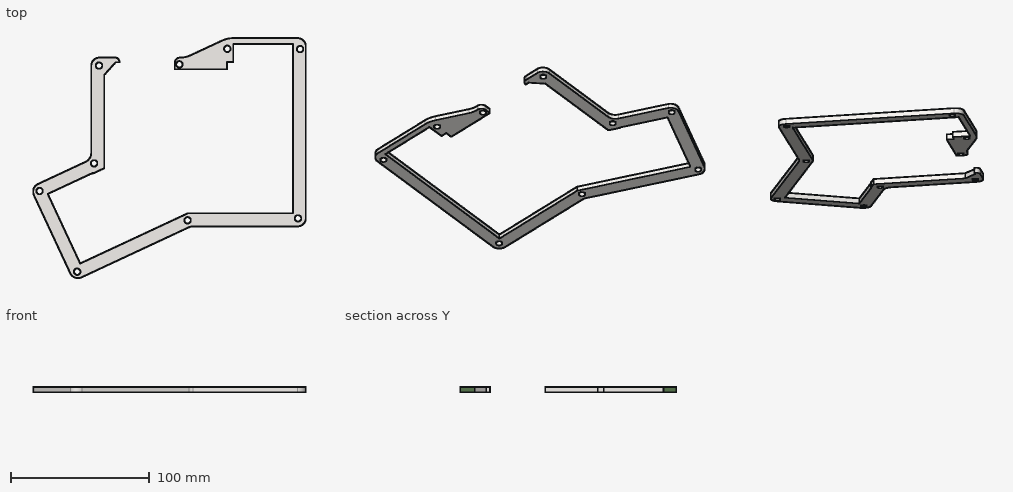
import cadquery as cq
import math

length = 196.54
width = 173.04
thickness = 4.0
band = 9.6
right_band = 9.4
top_band = 4.5
tilt = math.radians(25)
hole_diameter = 4.5

corner_radius = 6.2
elbow_radius = 7.0
bend_radius = 6.0
tip_radius = 3.5
shoulder_radius = 20.0
saddle_radius = 16.0
plate_end_radius = 4.0

sin_t = math.sin(tilt)
cos_t = math.cos(tilt)
tan_t = math.tan(tilt)
leg_top_y = 62.3
leg_drop = leg_top_y - corner_radius
left_center = (corner_radius, leg_top_y)
low_center = (corner_radius + leg_drop * tan_t, corner_radius)

long_part = sin_t + cos_t
short_part = cos_t - sin_t
inset = band - corner_radius
left_outer = (left_center[0] - corner_radius * long_part, left_center[1] + corner_radius * short_part)
left_inner = (left_center[0] + inset * long_part, left_center[1] - inset * short_part)
low_outer = (low_center[0] - corner_radius * short_part, low_center[1] - corner_radius * long_part)
low_inner = (low_center[0] + inset * short_part, low_center[1] + inset * long_part)

post_left = 41.8
post_right = post_left + band
post_top = 159.0
hook_tip_x = 62.4
hook_root_x = 59.5
hook_tip_depth = 3.6
hook_under_y = post_top - hook_tip_depth
hook_base_y = 146.4

step_x = 43.0
step_depth = 0.4

bottom_y = 37.2
bottom_inner_y = bottom_y + band
right_inner_x = length - right_band
top_inner_y = width - top_band

plate_left = 102.0
plate_right = 144.3
plate_bottom = 150.3
plate_end_top = 159.0
notch_x = 139.7
notch_y = 155.6
shoulder = (140.1, width)

hole_centers = [
    (47.5, 153.1),
    (44.0, 82.7),
    (4.7, 62.8),
    (31.8, 4.7),
    (111.3, 41.7),
    (190.8, 43.1),
    (192.3, 165.0),
    (139.9, 165.2),
    (105.4, 154.0),
]


def x_on_slope(start, y):
    """X where the tilted line through start reaches height y."""
    return start[0] + (y - start[1]) / tan_t


def y_on_slope(start, x):
    """Y of the tilted line through start at position x."""
    return start[1] + (x - start[0]) * tan_t


step_y = y_on_slope(left_inner, step_x)
corners = [
    ((hook_tip_x, post_top), tip_radius),
    ((post_left, post_top), corner_radius),
    ((post_left, y_on_slope(left_outer, post_left)), elbow_radius),
    (left_outer, corner_radius),
    (low_outer, corner_radius),
    ((x_on_slope(low_outer, bottom_y), bottom_y), bend_radius),
    ((length, bottom_y), corner_radius),
    ((length, width), corner_radius),
    (shoulder, shoulder_radius),
    ((x_on_slope(shoulder, plate_end_top), plate_end_top), saddle_radius),
    ((plate_left, plate_end_top), plate_end_radius),
    ((plate_left, plate_bottom), 0),
    ((notch_x, plate_bottom), 0),
    ((notch_x, notch_y), 0),
    ((plate_right, notch_y), 0),
    ((plate_right, top_inner_y), 0),
    ((right_inner_x, top_inner_y), 0),
    ((right_inner_x, bottom_inner_y), 0),
    ((x_on_slope(low_inner, bottom_inner_y), bottom_inner_y), 0),
    (low_inner, 0),
    (left_inner, 0),
    ((step_x, step_y), 0),
    ((step_x + step_depth * sin_t, step_y - step_depth * cos_t), 0),
    ((post_right, y_on_slope(left_inner, post_right) - step_depth / cos_t), 0),
    ((post_right, hook_base_y), 0),
    ((hook_root_x, hook_under_y), 0),
    ((hook_tip_x, hook_under_y), 0),
]


def rounded_outline(points):
    """Closed outline through the corners, each rounded by a tangent arc of its radius."""
    outline = None
    for i, (corner, radius) in enumerate(points):
        here = cq.Vector(*corner)
        back = (cq.Vector(*points[i - 1][0]) - here).normalized()
        ahead = (cq.Vector(*points[(i + 1) % len(points)][0]) - here).normalized()
        half_angle = back.getAngle(ahead) / 2
        setback = radius / math.tan(half_angle)
        start = here + back * setback
        if outline is None:
            outline = cq.Workplane("XY").moveTo(start.x, start.y)
        else:
            outline = outline.lineTo(start.x, start.y)
        if radius > 0:
            apex_distance = radius / math.sin(half_angle) - radius
            middle = here + (back + ahead).normalized() * apex_distance
            end = here + ahead * setback
            outline = outline.threePointArc((middle.x, middle.y), (end.x, end.y))
    return outline.close()


def screw_holes():
    """Cylinders to cut through the full thickness at every hole centre."""
    return cq.Workplane("XY").pushPoints(hole_centers).circle(hole_diameter / 2).extrude(thickness)


frame = rounded_outline(corners).extrude(thickness)
result = frame.cut(screw_holes())